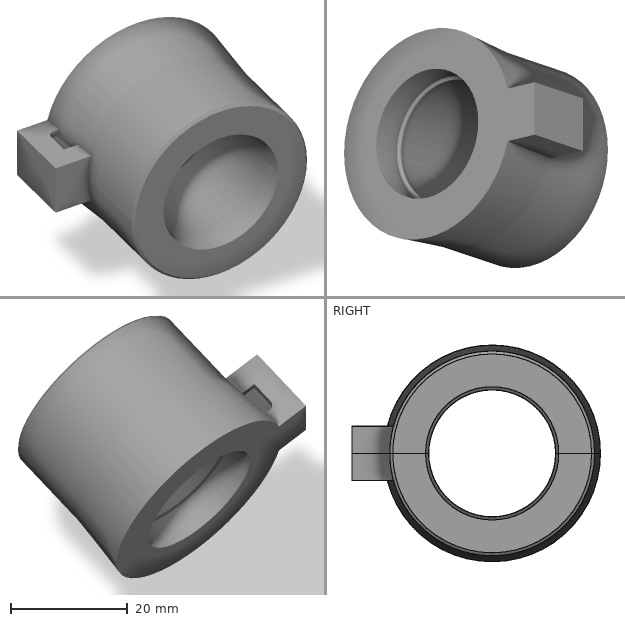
import cadquery as cq

overall_width = 42.55
length = 27.8
flare_radius = 18.55
body_radius = 17.55
flare_length = 12.2
flare_sag = 0.05
end_chamfer = 0.5

bore_radius = 11.4
ridge_radius = 10.85
ridge_start = 5.55
ridge_slope_length = 0.3
ridge_land = 0.3
ridge_land_start = ridge_start + ridge_slope_length
ridge_end = ridge_land_start + ridge_land

lug_length = 12.9
lug_reach = overall_width - flare_radius
lug_half_height = 4.7

recess_start = 3.4
recess_end = 8.9
recess_reach = 19.95
recess_depth = 1.4
recess_corner_radius = 1.2
recess_floor_fillet = 0.4


def revolve_about_x(profile):
    return profile.close().revolve(360, (0, 0, 0), (1, 0, 0))


def make_outer():
    """Solid of revolution bounded by the flare, the cylinder and the end chamfer."""
    flare_middle_radius = (flare_radius + body_radius) / 2 - flare_sag
    return revolve_about_x(
        cq.Workplane("XY")
        .lineTo(0, flare_radius)
        .threePointArc((flare_length / 2, flare_middle_radius), (flare_length, body_radius))
        .lineTo(length - end_chamfer, body_radius)
        .lineTo(length, body_radius - end_chamfer)
        .lineTo(length, 0)
    )


def make_bore():
    """Space inside the sleeve, narrowed by the ridge with its sloping front face."""
    return revolve_about_x(
        cq.Workplane("XY")
        .lineTo(0, bore_radius)
        .lineTo(ridge_start, bore_radius)
        .lineTo(ridge_land_start, ridge_radius)
        .lineTo(ridge_end, ridge_radius)
        .lineTo(ridge_end, bore_radius)
        .lineTo(length, bore_radius)
        .lineTo(length, 0)
    )


def make_recess():
    """Pocket volume with one rounded corner and a filleted floor edge leading around it."""
    recess_length = recess_end - recess_start
    pocket = (
        cq.Workplane("XY", origin=(recess_start, -recess_reach, lug_half_height - recess_depth))
        .box(recess_length, recess_reach, recess_depth, centered=False)
    )
    pocket = pocket.edges("|Z and <X and <Y").fillet(recess_corner_radius)
    return pocket.faces("<Z").edges("<X").fillet(recess_floor_fillet)


def make_half(side):
    """Half of the sleeve and lug above (side = 1) or below (side = -1) the parting plane."""
    outer = make_outer()
    lug = cq.Workplane("XY").box(lug_length, lug_reach, lug_half_height, centered=False)
    lug = lug.translate((0, -lug_reach, 0 if side > 0 else -lug_half_height))
    if side > 0:
        lug = lug.cut(make_recess())
    half_space = cq.Workplane("XY").box(length, 2 * lug_reach, flare_radius, centered=(False, True, False))
    if side < 0:
        half_space = half_space.translate((0, 0, -flare_radius))
    return outer.intersect(half_space).union(lug).cut(make_bore())


upper_half = make_half(1)
lower_half = make_half(-1)

result = cq.Compound.makeCompound([upper_half.val(), lower_half.val()])